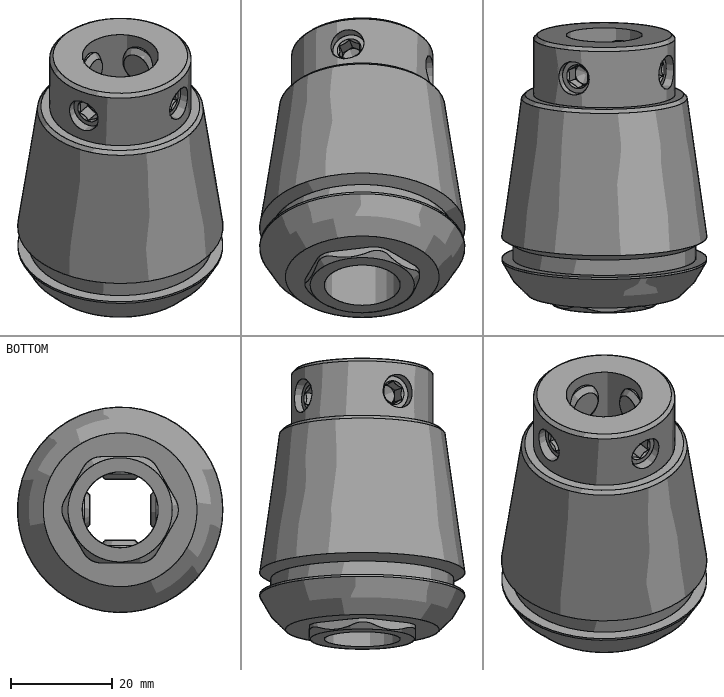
import cadquery as cq
import math

TOTAL_HEIGHT = 54.0
FOOT_HEIGHT = 1.95
LOWER_BEVEL_TOP = 4.8
RIM_BOTTOM = 8.65
GROOVE_BOTTOM = 9.05
GROOVE_TOP = 12.15
CONE_TOP = 42.0

COLLAR_RADIUS = 28.0 / 2
BORE_RADIUS = 15.0 / 2
GROOVE_RADIUS = 36.2 / 2
RIM_RADIUS = 40.55 / 2
CONE_BASE_RADIUS = 40.64 / 2
EDGE_CHAMFER = 0.7

CONE_ANGLE = 8.0
FLANK_ANGLE = 30.0

FOOT_ACROSS_FLATS = 21.0
FOOT_CORNER_RADIUS = 4.0
FOOT_END_RADIUS = 10.3

SCREW_COUNT = 4
SCREW_HEIGHT = 47.65
SCREW_HOLE_RADIUS = 6.65 / 2
SCREW_RADIUS = 4.0
SCREW_TIP_RADIUS = 2.95
SCREW_TIP_POSITION = 6.0
SCREW_HEAD_POSITION = 12.0

SOCKET_ACROSS_FLATS = 4.0
SOCKET_DEPTH = 3.0
SOCKET_MOUTH_RADIUS = 2.4
DRILL_POINT_ANGLE = 30.0


def hexagon_diameter(across_flats):
    """Diameter of the circle through the corners of a hexagon."""
    return across_flats / math.cos(math.radians(30))


def make_body():
    """Collar, cone, groove and bevelled rim as one revolved profile."""
    flank_slope = math.tan(math.radians(FLANK_ANGLE))
    cone_slope = math.tan(math.radians(CONE_ANGLE))

    cone_base = GROOVE_TOP + (CONE_BASE_RADIUS - GROOVE_RADIUS) * flank_slope
    chamfer_base = CONE_TOP - EDGE_CHAMFER
    cone_top_radius = CONE_BASE_RADIUS - (chamfer_base - cone_base) * cone_slope
    bevel_radius = RIM_RADIUS - (RIM_BOTTOM - LOWER_BEVEL_TOP) * flank_slope
    lower_bevel_height = LOWER_BEVEL_TOP - FOOT_HEIGHT

    profile = [
        (0, FOOT_HEIGHT),
        (bevel_radius - lower_bevel_height, FOOT_HEIGHT),
        (bevel_radius, LOWER_BEVEL_TOP),
        (RIM_RADIUS, RIM_BOTTOM),
        (RIM_RADIUS, GROOVE_BOTTOM),
        (GROOVE_RADIUS, GROOVE_BOTTOM),
        (GROOVE_RADIUS, GROOVE_TOP),
        (CONE_BASE_RADIUS, cone_base),
        (cone_top_radius, chamfer_base),
        (cone_top_radius - EDGE_CHAMFER, CONE_TOP),
        (COLLAR_RADIUS, CONE_TOP),
        (COLLAR_RADIUS, TOTAL_HEIGHT - EDGE_CHAMFER),
        (COLLAR_RADIUS - EDGE_CHAMFER, TOTAL_HEIGHT),
        (0, TOTAL_HEIGHT),
    ]
    return cq.Workplane("XZ").polyline(profile).close().revolve(360, (0, 0), (0, 1))


def make_foot():
    """Hexagonal foot with rounded corners, chamfered at its lower end."""
    height = LOWER_BEVEL_TOP
    foot = (
        cq.Workplane("XY")
        .polygon(6, hexagon_diameter(FOOT_ACROSS_FLATS))
        .extrude(height)
        .edges("|Z")
        .fillet(FOOT_CORNER_RADIUS)
    )
    chamfer_cone = cq.Workplane(cq.Solid.makeCone(FOOT_END_RADIUS, FOOT_END_RADIUS + height, height))
    return foot.intersect(chamfer_cone)


def make_screw():
    """Set screw along +X, with a chamfered tip towards the axis and a hexagonal socket outside."""
    tip_chamfer = SCREW_RADIUS - SCREW_TIP_RADIUS
    screw_profile = [
        (SCREW_TIP_POSITION, 0),
        (SCREW_TIP_POSITION, SCREW_TIP_RADIUS),
        (SCREW_TIP_POSITION + tip_chamfer, SCREW_RADIUS),
        (SCREW_HEAD_POSITION, SCREW_RADIUS),
        (SCREW_HEAD_POSITION, 0),
    ]
    screw = cq.Workplane("XZ").polyline(screw_profile).close().revolve(360, (0, 0), (1, 0))

    socket_floor = SCREW_HEAD_POSITION - SOCKET_DEPTH
    socket = (
        cq.Workplane("YZ", origin=(socket_floor, 0, 0))
        .transformed(rotate=(0, 0, 90))
        .polygon(6, hexagon_diameter(SOCKET_ACROSS_FLATS))
        .extrude(SOCKET_DEPTH)
    )
    floor_radius = SOCKET_ACROSS_FLATS / 2
    point_depth = floor_radius * math.tan(math.radians(DRILL_POINT_ANGLE))
    drill_point = cq.Solid.makeCone(
        0, floor_radius, point_depth, cq.Vector(socket_floor - point_depth, 0, 0), cq.Vector(1, 0, 0)
    )
    lead_in = cq.Solid.makeCone(
        0,
        SOCKET_MOUTH_RADIUS,
        SOCKET_MOUTH_RADIUS,
        cq.Vector(SCREW_HEAD_POSITION - SOCKET_MOUTH_RADIUS, 0, 0),
        cq.Vector(1, 0, 0),
    )
    screw = screw.cut(socket).cut(cq.Workplane(drill_point)).cut(cq.Workplane(lead_in))
    return screw.translate((0, 0, SCREW_HEIGHT))


def make_screw_hole():
    """Radial hole along +X from the part axis out past the collar wall."""
    return (
        cq.Workplane("YZ", origin=(0, 0, SCREW_HEIGHT))
        .circle(SCREW_HOLE_RADIUS)
        .extrude(CONE_BASE_RADIUS)
    )


bore = cq.Workplane("XY").circle(BORE_RADIUS).extrude(TOTAL_HEIGHT)
result = make_body().union(make_foot()).cut(bore)

screw_hole = make_screw_hole()
screw = make_screw()
for index in range(SCREW_COUNT):
    angle = index * 360 / SCREW_COUNT
    result = result.cut(screw_hole.rotate((0, 0, 0), (0, 0, 1), angle))
    result = result.union(screw.rotate((0, 0, 0), (0, 0, 1), angle))